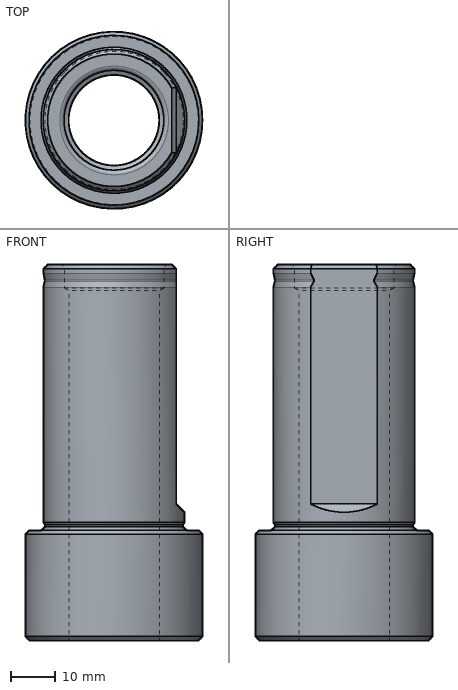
import cadquery as cq

total_height = 85
collar_radius = 40.0 / 2
shaft_radius = 32.0 / 2
bore_radius = 20.4 / 2
counterbore_radius = 22.5 / 2

collar_height = 25.0
collar_top_chamfer = 0.85
collar_bottom_chamfer = 1.0

relief_depth = 0.3
relief_flare_radius = 16.5
relief_flare_height = 0.8
relief_land_height = 0.5
relief_taper_height = 0.5

groove_depth = 0.3
groove_top = total_height - 1.95
groove_land_top = total_height - 3.5
groove_land_bottom = total_height - 3.7
groove_bottom = total_height - 5.1

rim_chamfer = 1.0
mouth_round = 1.0
seat_depth = 5.3
seat_taper_height = 0.5

flat_distance = 14.1
flat_bottom = 30.9


def revolve_profile(outline):
    return outline.close().revolve(360, (0, 0, 0), (0, 1, 0))


def make_body():
    relief_radius = shaft_radius - relief_depth
    land_bottom = collar_height + relief_flare_height
    land_top = land_bottom + relief_land_height
    outline = (
        cq.Workplane("XZ")
        .moveTo(0, 0)
        .lineTo(collar_radius - collar_bottom_chamfer, 0)
        .lineTo(collar_radius, collar_bottom_chamfer)
        .lineTo(collar_radius, collar_height - collar_top_chamfer)
        .lineTo(collar_radius - collar_top_chamfer, collar_height)
        .lineTo(relief_flare_radius, collar_height)
        .lineTo(relief_radius, land_bottom)
        .lineTo(relief_radius, land_top)
        .lineTo(shaft_radius, land_top + relief_taper_height)
        .lineTo(shaft_radius, groove_bottom)
        .lineTo(shaft_radius - groove_depth, groove_land_bottom)
        .lineTo(shaft_radius - groove_depth, groove_land_top)
        .lineTo(shaft_radius, groove_top)
        .lineTo(shaft_radius, total_height - rim_chamfer)
        .lineTo(shaft_radius - rim_chamfer, total_height)
        .lineTo(0, total_height)
    )
    return revolve_profile(outline)


def make_flat_cutter():
    """Material removed outside the flat, including the rim chamfer along it."""
    reach = collar_radius - flat_distance
    return (
        cq.Workplane("XZ")
        .moveTo(flat_distance - rim_chamfer, total_height)
        .lineTo(flat_distance, total_height - rim_chamfer)
        .lineTo(flat_distance, flat_bottom)
        .lineTo(flat_distance + reach, flat_bottom - reach)
        .lineTo(flat_distance + reach, total_height)
        .close()
        .extrude(collar_radius, both=True)
    )


def make_bore_cutter():
    """Through bore, tapered seat, counterbore and rounded mouth."""
    seat_height = total_height - seat_depth
    outline = (
        cq.Workplane("XZ")
        .moveTo(0, 0)
        .lineTo(bore_radius, 0)
        .lineTo(bore_radius, seat_height - seat_taper_height)
        .lineTo(counterbore_radius, seat_height)
        .lineTo(counterbore_radius, total_height - mouth_round)
        .radiusArc((counterbore_radius + mouth_round, total_height), mouth_round)
        .lineTo(0, total_height)
    )
    return revolve_profile(outline)


result = make_body().cut(make_flat_cutter()).cut(make_bore_cutter())